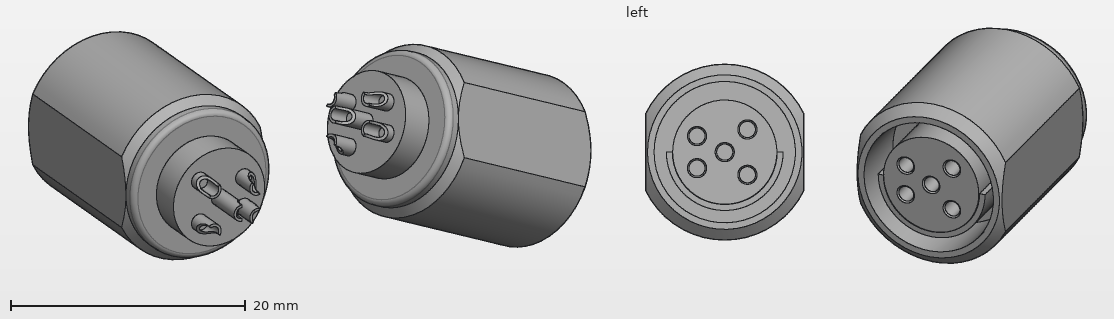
import cadquery as cq
import math


sleeve_radius = 7.5
width_across_flats = 13.5
front_chamfer = 0.92
rear_chamfer_start = 16.55
rear_chamfer = sleeve_radius - width_across_flats / 2
socket_radius = 6.02
socket_depth = 6.12

collar_radius = width_across_flats / 2
collar_end = 18.5
collar_fillet = 0.5

insert_radius = 4.44
insert_recess = 0.5
insert_end = 21.5

key_radius = 4.97
key_gap = 0.03
key_recess = 0.6

pitch_radius = 2.73
contact_angles = (30, -30, 135, -135)
contact_hole_radius = 0.7
contact_hole_chamfer = 0.13
contact_hole_depth = 5.1

pin_radius = 1.5 / 2
pin_embed = 0.25
outer_pin_end = 24.0
center_pin_end = 25.5
cup_bore_radius = 0.5
cup_bore_depth = 2.0
scoop_length = 1.75
scoop_curve_radius = 1.78
outer_scoop_floor = -0.15
center_scoop_floor = 0.0


def cylinder_x(radius, start, end):
    """Cylinder on the connector axis between two X positions."""
    return cq.Workplane("YZ", origin=(start, 0, 0)).circle(radius).extrude(end - start)


def make_sleeve():
    """Chamfered round sleeve with two flats facing -Y and +Y."""
    rear_end = rear_chamfer_start + rear_chamfer
    sleeve = (
        cylinder_x(sleeve_radius, 0, rear_end)
        .faces("<X").chamfer(front_chamfer)
        .faces(">X").chamfer(rear_chamfer)
    )
    flats = cq.Workplane("XY").box(
        rear_end, width_across_flats, 2 * sleeve_radius, centered=(False, True, True)
    )
    return sleeve.intersect(flats)


def make_collar():
    """Round collar at the back of the sleeve, rounded on its rear edge."""
    return cylinder_x(collar_radius, socket_depth, collar_end).faces(">X").edges().fillet(collar_fillet)


def make_key():
    """Lower half of a ring standing just off the insert on the socket floor."""
    ring = cylinder_x(key_radius, key_recess, socket_depth).cut(
        cylinder_x(insert_radius + key_gap, key_recess, socket_depth)
    )
    lower_half = cq.Workplane("XY").box(
        socket_depth, 2 * key_radius, key_radius, centered=(False, True, False)
    ).translate((0, 0, -key_radius))
    return ring.intersect(lower_half)


def make_contact_hole():
    """Cutter for one socket contact on the axis, with a countersunk mouth."""
    mouth_radius = contact_hole_radius + contact_hole_chamfer
    return (
        cq.Workplane("XY")
        .moveTo(insert_recess, 0)
        .lineTo(insert_recess, mouth_radius)
        .lineTo(insert_recess + contact_hole_chamfer, contact_hole_radius)
        .lineTo(insert_recess + contact_hole_depth, contact_hole_radius)
        .lineTo(insert_recess + contact_hole_depth, 0)
        .close()
        .revolve(360, (0, 0, 0), (1, 0, 0))
    )


def make_pin(pin_end, scoop_floor):
    """Solder-cup pin on the axis, scooped open towards +Y by an arc that runs out into a flat."""
    pin = cylinder_x(pin_radius, insert_end - pin_embed, pin_end)
    pin = pin.cut(cylinder_x(cup_bore_radius, pin_end - cup_bore_depth, pin_end))

    sweep = math.acos(1 - (pin_radius - scoop_floor) / scoop_curve_radius)
    scoop_start = pin_end - scoop_length
    flat_start = scoop_start + scoop_curve_radius * math.sin(sweep)
    arc_center_height = scoop_floor + scoop_curve_radius
    arc_middle = (
        flat_start - scoop_curve_radius * math.sin(sweep / 2),
        arc_center_height - scoop_curve_radius * math.cos(sweep / 2),
    )
    scoop = (
        cq.Workplane("XY", origin=(0, 0, -pin_radius))
        .moveTo(pin_end, scoop_floor)
        .lineTo(flat_start, scoop_floor)
        .threePointArc(arc_middle, (scoop_start, pin_radius))
        .lineTo(pin_end, pin_radius)
        .close()
        .extrude(2 * pin_radius)
    )
    return pin.cut(scoop)


def place_on_pitch_circle(shape, angle):
    """Move an axial shape to the pitch circle, turning its +Y side outwards."""
    return shape.translate((0, pitch_radius, 0)).rotate((0, 0, 0), (1, 0, 0), angle)


result = make_sleeve().union(make_collar())
result = result.cut(cylinder_x(socket_radius, 0, socket_depth))

result = result.union(cylinder_x(insert_radius, insert_recess, insert_end))
result = result.union(make_key())

contact_hole = make_contact_hole()
outer_pin = make_pin(outer_pin_end, outer_scoop_floor)
result = result.cut(contact_hole).union(make_pin(center_pin_end, center_scoop_floor))
for angle in contact_angles:
    result = result.cut(place_on_pitch_circle(contact_hole, angle))
    result = result.union(place_on_pitch_circle(outer_pin, angle))